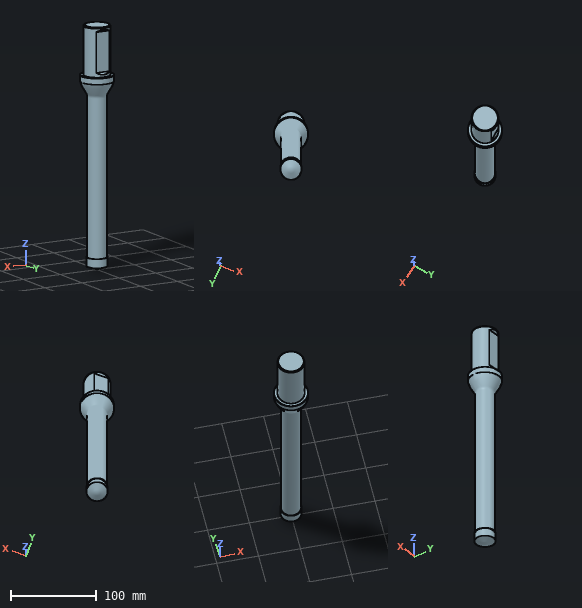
import cadquery as cq
import math

total_length = 293.0

tip_diameter = 25.0
tip_point_height = 4.0
tip_top_z = 15.0

shaft_diameter = 23.5
shaft_top_z = 207.2

flange_diameter = 40.0
flange_bottom_z = 225.5
flange_top_z = 233.2
flange_chamfer = 0.45
underside_angle = math.radians(31)
rim_angle = math.radians(13)
flare_height = 3.5

shank_diameter = 32.0
shank_end_diameter = 29.5
shank_chamfer_height = 1.5
shank_edge_taper_height = 1.2
shank_edge_taper_depth = 0.18

flat_depth = 2.5
flat_bottom_z = 238.8
flat_top_z = 287.5


def make_tip():
    """Cylindrical cutting head ending in a shallow cone."""
    radius = tip_diameter / 2
    return (
        cq.Workplane("XZ")
        .moveTo(0, 0)
        .lineTo(radius, tip_point_height)
        .lineTo(radius, tip_top_z)
        .lineTo(0, tip_top_z)
        .close()
        .revolve(360, (0, 0), (0, 1))
    )


def make_turned_body():
    """Shaft, flange and shank as one turned profile."""
    shaft_radius = shaft_diameter / 2
    flange_radius = flange_diameter / 2
    shank_radius = shank_diameter / 2
    taper_top_z = total_length - shank_chamfer_height

    flare_radius = flare_height / math.sin(underside_angle)

    def flare_point(angle):
        return (
            shaft_radius + flare_radius * (1 - math.cos(angle)),
            shaft_top_z + flare_radius * math.sin(angle),
        )

    underside_direction = (math.sin(underside_angle), math.cos(underside_angle))
    rim_direction = (math.sin(rim_angle), math.cos(rim_angle))

    return (
        cq.Workplane("XZ")
        .moveTo(0, tip_top_z)
        .lineTo(shaft_radius, tip_top_z)
        .lineTo(shaft_radius, shaft_top_z)
        .threePointArc(flare_point(underside_angle / 2), flare_point(underside_angle))
        .spline(
            [(flange_radius, flange_bottom_z)],
            tangents=[underside_direction, rim_direction],
            includeCurrent=True,
        )
        .lineTo(flange_radius, flange_top_z - flange_chamfer)
        .lineTo(flange_radius - flange_chamfer, flange_top_z)
        .lineTo(shank_radius, flange_top_z)
        .lineTo(shank_radius, taper_top_z - shank_edge_taper_height)
        .lineTo(shank_radius - shank_edge_taper_depth, taper_top_z)
        .lineTo(shank_end_diameter / 2, total_length)
        .lineTo(0, total_length)
        .close()
        .revolve(360, (0, 0), (0, 1))
    )


def make_flat_cutter():
    """Trapezoidal prism that cuts the clamping flat, opening outwards at 45 degrees."""
    outer_y = shank_diameter / 2
    flat_y = outer_y - flat_depth
    return (
        cq.Workplane("YZ")
        .moveTo(flat_y, flat_bottom_z)
        .lineTo(outer_y, flat_bottom_z - flat_depth)
        .lineTo(outer_y, flat_top_z + flat_depth)
        .lineTo(flat_y, flat_top_z)
        .close()
        .extrude(shank_diameter / 2, both=True)
    )


tip = make_tip()
drill_body = make_turned_body().cut(make_flat_cutter())

result = cq.Compound.makeCompound([drill_body.val(), tip.val()])